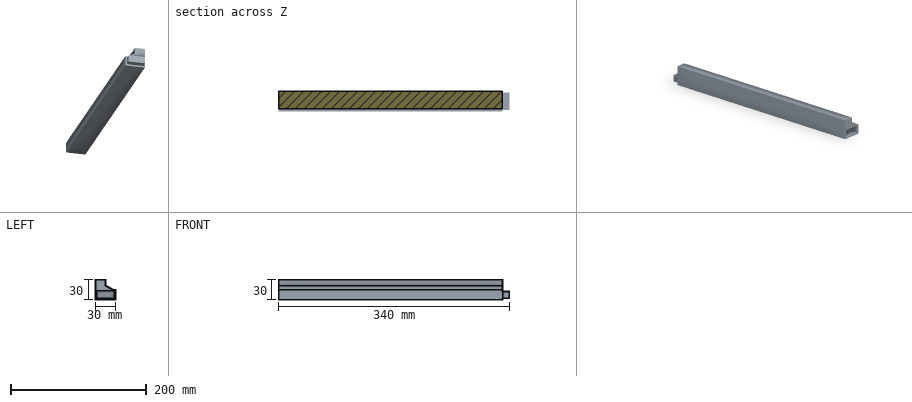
import cadquery as cq

total_length = 340.0
tongue_length = 10.0
body_length = total_length - tongue_length
section_size = 30.0

upper_depth = 15.3
ledge_height = section_size / 2
ledge_depth = 3.7
slope_top_height = 21.0

tongue_width = 25.0
tongue_height = 10.2
tongue_base = 2.5
socket_width = 26.0
socket_height = 11.5
socket_base = 2.0
socket_depth = tongue_length


def end_block(start_x, length, width, height, base):
    """Rectangular block centred across the bar, running along +X from start_x."""
    return (
        cq.Workplane("XY")
        .box(length, width, height, centered=(False, True, False))
        .translate((start_x, section_size / 2, base))
    )


section = [
    (0, 0),
    (section_size, 0),
    (section_size, section_size),
    (section_size - upper_depth, section_size),
    (section_size - upper_depth, slope_top_height),
    (ledge_depth, ledge_height),
    (0, ledge_height),
]
body = cq.Workplane("YZ").polyline(section).close().extrude(body_length)

tongue = end_block(body_length, tongue_length, tongue_width, tongue_height, tongue_base)
socket = end_block(0, socket_depth, socket_width, socket_height, socket_base)

result = body.union(tongue).cut(socket)